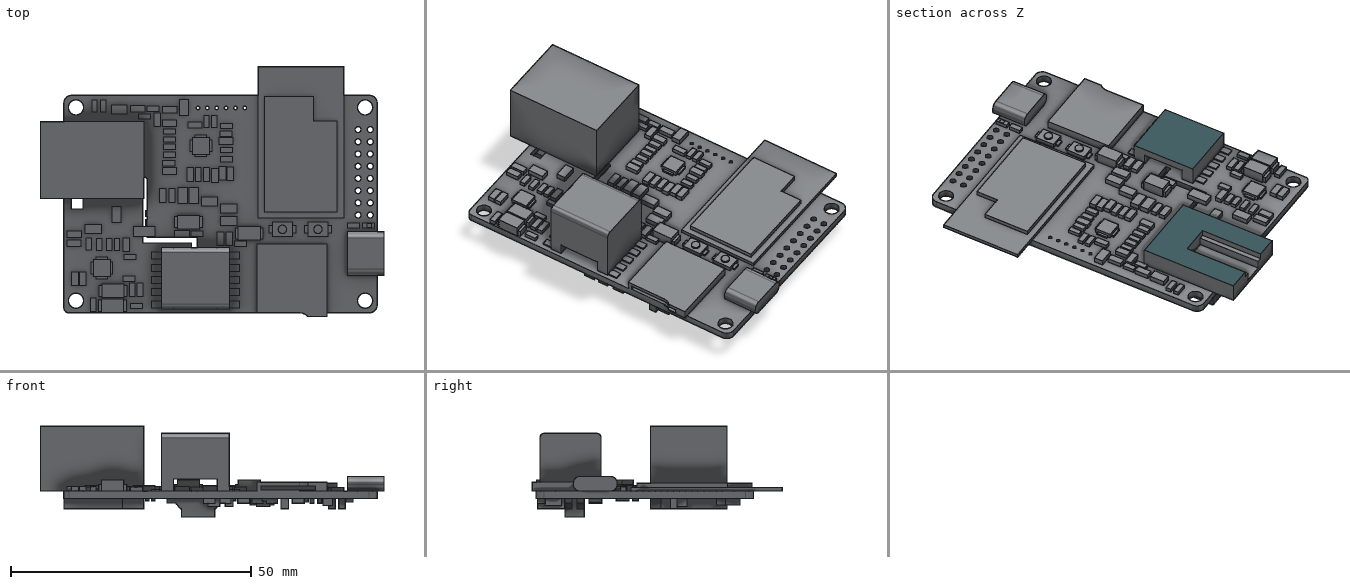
import cadquery as cq
import math


BOARD_LENGTH = 65.25
BOARD_WIDTH = 45.3
BOARD_THICKNESS = 1.6
BOARD_BOTTOM = -BOARD_THICKNESS
CORNER_RADIUS = 1.7
FRONT_LEFT_CORNER_RADIUS = 1.1

MOUNT_HOLE_DIAMETER = 3.1
MOUNT_HOLE_INSET = 2.55

HEADER_HOLE_DIAMETER = 1.2
HEADER_PITCH = 2.54
HEADER_COLUMNS = 2
HEADER_ROWS = 8
HEADER_CENTER = (62.5, 29.25)

SERIAL_HOLE_DIAMETER = 0.7
SERIAL_PITCH = 1.95
SERIAL_HOLES = 6
SERIAL_CENTER = (32.8, 42.65)

SLOT_LEFT = 16.45
SLOT_WIDTH = 0.9
SLOT_TOP = 28.2
SLOT_TURN_WIDTH = 1.15
SLOT_TURN_Y = 14.55
SLOT_RIGHT = 27.75
SLOT_END_Y = 12.0

WINDOW_LEFT = 1.6
WINDOW_BOTTOM = 21.65
WINDOW_LENGTH = 2.4
WINDOW_WIDTH = 4.0

JACK_LENGTH = 21.5
JACK_WIDTH = 16.0
JACK_HEIGHT = 13.5
JACK_OVERHANG = 4.85
JACK_FRONT_Y = 23.8
JACK_BASE_LEFT = 0.05
JACK_BASE_BOTTOM = -3.7
JACK_BASE_CHAMFER_X = 4.4
JACK_BASE_CHAMFER_Y = 2.2
JACK_OPENING_DEPTH = 14.0
JACK_OPENING_CENTER_Y = 31.7
JACK_OPENING_STEPS = [(12.3, 4.6), (6.2, 2.8), (4.2, 0.95)]
JACK_OPENING_TOP = 11.1

CONVERTER_LENGTH = 14.15
CONVERTER_WIDTH = 12.75
CONVERTER_HEIGHT = 12.05
CONVERTER_CENTER = (27.4, 7.2)
CONVERTER_FILLET = 1.0
CONVERTER_GAP_LENGTH = 9.05
CONVERTER_GAP_HEIGHT = 2.5
CONVERTER_LEAD_SPAN = 18.3
CONVERTER_LEAD_WIDTH = 1.45
CONVERTER_LEAD_HEIGHT = 0.3
CONVERTER_LEAD_PITCH = 2.54
CONVERTER_LEAD_ROWS = 5
CONVERTER_LEAD_CENTER_Y = 6.85

RADIO_LENGTH = 17.85
RADIO_WIDTH = 31.45
RADIO_THICKNESS = 0.75
RADIO_LEFT = 40.45
RADIO_FRONT_Y = 19.8
SHIELD_LEFT = 41.8
SHIELD_FRONT_Y = 21.0
SHIELD_LENGTH = 15.1
SHIELD_WIDTH = 24.0
SHIELD_TOP = 1.65
SHIELD_NOTCH_LENGTH = 4.9
SHIELD_NOTCH_WIDTH = 5.1

CARD_LEFT = 40.2
CARD_LENGTH = 14.6
CARD_BACK_Y = 14.3
CARD_HEIGHT = 1.85
CARD_LIP = 0.76
CARD_LIP_LENGTH = 4.0
CARD_LIP_RADIUS = 2.5
CARD_SLOT_LEFT = 41.0
CARD_SLOT_LENGTH = 11.4
CARD_SLOT_BOTTOM = 0.25
CARD_SLOT_TOP = 1.1
CARD_SLOT_DEPTH = 11.0

USB_LENGTH = 7.65
USB_WIDTH = 9.1
USB_HEIGHT = 3.05
USB_RADIUS = 1.35
USB_RIGHT = 66.65
USB_CENTER_Y = 12.35

SMALL = (2.5, 1.1, 0.8)
NARROW = (2.85, 1.2, 0.9)
MEDIUM = (2.85, 1.4, 0.95)
LONG = (3.1, 1.4, 0.95)
LARGE = (3.3, 1.9, 1.15)
WIDE = (3.5, 1.85, 1.15)
BRIDGE = (4.45, 2.1, 1.15)

CHIPS_ALONG_X = {
    SMALL: [
        (18.6, 42.5), (16.8, 40.85), (22.0, 37.75), (22.0, 36.1), (22.0, 34.6), (22.0, 32.9),
        (21.85, 31.15), (33.85, 38.9), (33.75, 37.25), (33.85, 33.9), (33.85, 31.95),
        (13.75, 11.65), (13.55, 7.1), (15.15, 1.45), (27.75, 16.5), (36.75, 14.4),
        (60.3, 18.2), (63.45, 18.2),
    ],
    NARROW: [(27.3, 39.1)],
    MEDIUM: [(22.0, 39.45), (22.0, 29.55), (33.75, 35.75), (2.15, 14.5)],
    LONG: [(15.4, 42.45), (22.05, 42.25), (2.2, 16.35), (24.6, 16.4)],
    LARGE: [(11.55, 42.35), (30.3, 23.2)],
    WIDE: [(34.35, 21.7), (34.35, 19.15), (6.15, 17.5)],
    BRIDGE: [(16.75, 16.95)],
}
CHIPS_ALONG_Y = {
    SMALL: [
        (6.4, 43.0), (8.2, 43.0), (29.7, 39.8), (31.3, 39.8),
        (5.2, 14.3), (7.4, 14.2), (9.5, 14.2), (11.1, 14.2),
    ],
    NARROW: [
        (28.0, 28.8), (29.7, 28.8), (22.55, 24.45), (14.25, 4.8), (15.85, 4.8), (6.15, 1.7),
    ],
    MEDIUM: [
        (19.45, 40.2), (26.35, 28.8), (31.45, 28.6), (33.05, 29.05), (34.65, 28.95), (20.6, 24.45),
        (13.0, 14.2), (2.35, 7.1), (3.95, 7.1), (32.6, 15.45), (34.45, 15.45),
    ],
    LARGE: [(25.0, 42.7), (24.75, 24.45), (27.05, 24.45), (11.0, 20.5)],
}

LENS = (0.95, 0.9, 0.9)
LENS_CENTER = (63.6, 18.2)

CAPACITOR_BODY = (4.6, 2.8, 2.3)
CAPACITOR_TERMINALS = (5.8, 2.3, 1.4)
CAPACITOR_CENTERS = [(25.95, 18.9), (38.6, 16.55), (10.25, 4.6), (10.15, 1.5)]

CONTROLLER_BODY = (3.5, 3.5, 1.0)
CONTROLLER_PADS = (4.5, 2.4, 0.4)
CONTROLLER_CENTERS = [(28.55, 34.75), (7.95, 9.35)]

BUTTON_BODY = (4.2, 3.0, 0.9)
BUTTON_LEADS = (5.6, 1.5, 0.4)
BUTTON_DIAMETER = 1.75
BUTTON_TOP = 1.25
BUTTON_CENTERS = [(45.5, 17.4), (52.9, 17.4)]

CHOKE_CENTER = (27.95, 8.05)
CHOKE_WIDTH = 4.05
CHOKE_BLOCK_LENGTH = 6.95
CHOKE_BOTTOM = -5.4
CHOKE_LEG_SPAN = 12.95
CHOKE_LEG_SHOULDER_SPAN = 9.4
CHOKE_LEG_FOOT_SPAN = 7.3
CHOKE_LEG_SHOULDER = -2.5
CHOKE_LEG_FOOT = -3.7
CHOKE_LEG_WIDTH = 1.5

CRYSTAL_CENTER = (41.25, 40.05)
CRYSTAL_LENGTH = 4.4
CRYSTAL_WIDTH = 2.55
CRYSTAL_BOTTOM = -2.95
CRYSTAL_ANGLE = -45

PAD_BOTTOM = -2.05
THIN_CHIP_BOTTOM = -2.3
CHIP_BOTTOM = -2.55
TALL_CHIP_BOTTOM = -3.05
TRANSISTOR_BOTTOM = -3.25
POST_BOTTOM = -3.7

UNDERSIDE_BLOCKS = {
    PAD_BOTTOM: [
        (17.05, 16.7, 0.7, 2.7), (18.3, 16.7, 0.7, 2.7), (17.05, 20.1, 0.7, 1.2),
        (35.2, 28.0, 0.6, 2.7), (41.3, 11.0, 1.0, 2.7),
        (29.3, 2.05, 1.0, 0.95), (29.3, 3.95, 1.0, 0.95),
    ],
    THIN_CHIP_BOTTOM: [(50.0, 11.0, 0.9, 2.7), (58.7, 11.0, 1.5, 2.7)],
    CHIP_BOTTOM: [
        (29.1, 0.3, 2.4, 1.7), (32.5, 0.3, 2.3, 1.7), (36.2, 0.3, 2.5, 1.7), (47.5, 0.3, 2.55, 1.7),
        (39.2, 12.1, 2.3, 1.65), (42.2, 11.0, 2.3, 2.7), (51.2, 11.0, 0.9, 2.7), (52.8, 11.0, 0.9, 2.7),
    ],
    TALL_CHIP_BOTTOM: [(53.9, 1.9, 2.0, 3.4)],
    TRANSISTOR_BOTTOM: [(30.0, 1.9, 2.5, 3.0), (33.6, 1.9, 1.65, 3.4), (40.1, 28.0, 2.8, 3.4)],
    POST_BOTTOM: [(45.2, 0.35, 1.6, 5.65), (55.1, 28.0, 1.4, 1.4), (57.2, 28.0, 1.4, 1.4)],
}

SEAT = 0.1


def corner_block(left, front, length, width, bottom, top):
    block = cq.Workplane("XY").box(length, width, top - bottom, centered=False)
    return block.translate((left, front, bottom))


def standing_block(center, size):
    """Block of (length, width, height) seated on the top face of the board."""
    length, width, height = size
    left = center[0] - length / 2
    front = center[1] - width / 2
    return corner_block(left, front, length, width, -SEAT, height)


def turned(size):
    length, width, height = size
    return (width, length, height)


def drilled(board, centers, diameter):
    return board.cut(
        cq.Workplane("XY").workplane(offset=BOARD_BOTTOM)
        .pushPoints(centers).circle(diameter / 2).extrude(BOARD_THICKNESS)
    )


def grid(center, columns, rows, pitch):
    first_x = center[0] - (columns - 1) * pitch / 2
    first_y = center[1] - (rows - 1) * pitch / 2
    return [(first_x + i * pitch, first_y + j * pitch) for i in range(columns) for j in range(rows)]


def isolation_slot():
    radius = SLOT_WIDTH / 2
    right = SLOT_LEFT + SLOT_WIDTH
    turn_top = SLOT_TURN_Y + SLOT_TURN_WIDTH
    return (
        cq.Workplane("XY").workplane(offset=BOARD_BOTTOM)
        .moveTo(SLOT_LEFT, SLOT_TURN_Y)
        .lineTo(SLOT_LEFT, SLOT_TOP - radius)
        .threePointArc((SLOT_LEFT + radius, SLOT_TOP), (right, SLOT_TOP - radius))
        .lineTo(right, turn_top)
        .lineTo(SLOT_RIGHT, turn_top)
        .lineTo(SLOT_RIGHT, SLOT_END_Y)
        .lineTo(SLOT_RIGHT - SLOT_TURN_WIDTH, SLOT_END_Y)
        .lineTo(SLOT_RIGHT - SLOT_TURN_WIDTH, SLOT_TURN_Y)
        .close()
        .extrude(BOARD_THICKNESS)
    )


def make_board():
    board = corner_block(0, 0, BOARD_LENGTH, BOARD_WIDTH, BOARD_BOTTOM, 0)
    board = board.edges("|Z and (>X or >Y)").fillet(CORNER_RADIUS)
    front_left_corner = cq.selectors.NearestToPointSelector((0, 0, BOARD_BOTTOM / 2))
    board = board.edges(front_left_corner).fillet(FRONT_LEFT_CORNER_RADIUS)
    mount_xs = (MOUNT_HOLE_INSET, BOARD_LENGTH - MOUNT_HOLE_INSET)
    mount_ys = (MOUNT_HOLE_INSET, BOARD_WIDTH - MOUNT_HOLE_INSET)
    mount_centers = [(x, y) for x in mount_xs for y in mount_ys]
    board = drilled(board, mount_centers, MOUNT_HOLE_DIAMETER)
    header_centers = grid(HEADER_CENTER, HEADER_COLUMNS, HEADER_ROWS, HEADER_PITCH)
    board = drilled(board, header_centers, HEADER_HOLE_DIAMETER)
    board = drilled(board, grid(SERIAL_CENTER, SERIAL_HOLES, 1, SERIAL_PITCH), SERIAL_HOLE_DIAMETER)
    window = corner_block(WINDOW_LEFT, WINDOW_BOTTOM, WINDOW_LENGTH, WINDOW_WIDTH, BOARD_BOTTOM, 0)
    return board.cut(isolation_slot()).cut(window)


def make_jack():
    right = JACK_LENGTH - JACK_OVERHANG
    jack = corner_block(-JACK_OVERHANG, JACK_FRONT_Y, JACK_LENGTH, JACK_WIDTH, 0, JACK_HEIGHT)
    for width, floor in JACK_OPENING_STEPS:
        front = JACK_OPENING_CENTER_Y - width / 2
        jack = jack.cut(
            corner_block(-JACK_OVERHANG, front, JACK_OPENING_DEPTH, width, floor, JACK_OPENING_TOP)
        )
    base = (
        cq.Workplane("XY").workplane(offset=JACK_BASE_BOTTOM)
        .moveTo(JACK_BASE_LEFT, JACK_FRONT_Y)
        .lineTo(right - JACK_BASE_CHAMFER_X, JACK_FRONT_Y)
        .lineTo(right, JACK_FRONT_Y + JACK_BASE_CHAMFER_Y)
        .lineTo(right, JACK_FRONT_Y + JACK_WIDTH)
        .lineTo(JACK_BASE_LEFT, JACK_FRONT_Y + JACK_WIDTH)
        .close()
        .extrude(BOARD_BOTTOM + SEAT - JACK_BASE_BOTTOM)
    )
    return [jack, base]


def make_converter():
    body = standing_block(CONVERTER_CENTER, (CONVERTER_LENGTH, CONVERTER_WIDTH, CONVERTER_HEIGHT))
    body = body.edges("|X and >Z").fillet(CONVERTER_FILLET)
    gap = corner_block(
        CONVERTER_CENTER[0] - CONVERTER_GAP_LENGTH / 2, CONVERTER_CENTER[1] - CONVERTER_WIDTH / 2,
        CONVERTER_GAP_LENGTH, CONVERTER_WIDTH, -SEAT, CONVERTER_GAP_HEIGHT,
    )
    parts = [body.cut(gap)]
    lead_length = (CONVERTER_LEAD_SPAN - CONVERTER_GAP_LENGTH) / 2
    lead = (lead_length, CONVERTER_LEAD_WIDTH, CONVERTER_LEAD_HEIGHT)
    lead_offset = (CONVERTER_LEAD_SPAN - lead_length) / 2
    for side in (-1, 1):
        row_center = (CONVERTER_CENTER[0] + side * lead_offset, CONVERTER_LEAD_CENTER_Y)
        lead_centers = grid(row_center, 1, CONVERTER_LEAD_ROWS, CONVERTER_LEAD_PITCH)
        parts += [standing_block(center, lead) for center in lead_centers]
    return parts


def make_radio():
    module = corner_block(RADIO_LEFT, RADIO_FRONT_Y, RADIO_LENGTH, RADIO_WIDTH, 0, RADIO_THICKNESS)
    shield = corner_block(SHIELD_LEFT, SHIELD_FRONT_Y, SHIELD_LENGTH, SHIELD_WIDTH, 0, SHIELD_TOP)
    notch_left = SHIELD_LEFT + SHIELD_LENGTH - SHIELD_NOTCH_LENGTH
    notch_front = SHIELD_FRONT_Y + SHIELD_WIDTH - SHIELD_NOTCH_WIDTH
    notch = corner_block(notch_left, notch_front, SHIELD_NOTCH_LENGTH, SHIELD_NOTCH_WIDTH, 0, SHIELD_TOP)
    return [module, shield.cut(notch)]


def make_card_socket():
    right = CARD_LEFT + CARD_LENGTH
    lip_left = right - CARD_LIP_LENGTH
    flare_angle = math.acos(1 - CARD_LIP / CARD_LIP_RADIUS)
    flare_left = lip_left - CARD_LIP_RADIUS * math.sin(flare_angle)
    flare_middle = (
        flare_left + CARD_LIP_RADIUS * math.sin(flare_angle / 2),
        CARD_LIP_RADIUS * (math.cos(flare_angle / 2) - 1),
    )
    socket = (
        cq.Workplane("XY")
        .moveTo(CARD_LEFT, CARD_BACK_Y)
        .lineTo(CARD_LEFT, 0)
        .lineTo(flare_left, 0)
        .threePointArc(flare_middle, (lip_left, -CARD_LIP))
        .lineTo(right, -CARD_LIP)
        .lineTo(right, CARD_BACK_Y)
        .close()
        .extrude(CARD_HEIGHT)
    )
    slot_width = CARD_LIP + CARD_SLOT_DEPTH
    slot = corner_block(
        CARD_SLOT_LEFT, -CARD_LIP, CARD_SLOT_LENGTH, slot_width, CARD_SLOT_BOTTOM, CARD_SLOT_TOP
    )
    return [socket.cut(slot)]


def make_usb():
    left = USB_RIGHT - USB_LENGTH
    front = USB_CENTER_Y - USB_WIDTH / 2
    shell = corner_block(left, front, USB_LENGTH, USB_WIDTH, 0, USB_HEIGHT)
    return [shell.edges("|X").fillet(USB_RADIUS)]


def make_chips():
    parts = []
    for size, centers in CHIPS_ALONG_X.items():
        parts += [standing_block(center, size) for center in centers]
    for size, centers in CHIPS_ALONG_Y.items():
        parts += [standing_block(center, turned(size)) for center in centers]
    parts.append(standing_block(LENS_CENTER, LENS))
    for center in CAPACITOR_CENTERS:
        parts.append(standing_block(center, CAPACITOR_BODY))
        parts.append(standing_block(center, CAPACITOR_TERMINALS))
    for center in CONTROLLER_CENTERS:
        parts.append(standing_block(center, CONTROLLER_BODY))
        parts.append(standing_block(center, CONTROLLER_PADS))
        parts.append(standing_block(center, turned(CONTROLLER_PADS)))
    return parts


def make_buttons():
    parts = []
    for center in BUTTON_CENTERS:
        parts.append(standing_block(center, BUTTON_BODY))
        parts.append(standing_block(center, BUTTON_LEADS))
        parts.append(cq.Workplane("XY").center(*center).circle(BUTTON_DIAMETER / 2).extrude(BUTTON_TOP))
    return parts


def make_choke():
    x, y = CHOKE_CENTER
    front = y - CHOKE_WIDTH / 2
    seat_top = BOARD_BOTTOM + SEAT
    block = corner_block(
        x - CHOKE_BLOCK_LENGTH / 2, front, CHOKE_BLOCK_LENGTH, CHOKE_WIDTH, CHOKE_BOTTOM, seat_top
    )
    parts = [block]
    for leg_front in (front, front + CHOKE_WIDTH - CHOKE_LEG_WIDTH):
        leg_pair = (
            cq.Workplane("XZ", origin=(x, leg_front, 0))
            .moveTo(-CHOKE_LEG_SPAN / 2, seat_top)
            .lineTo(-CHOKE_LEG_SPAN / 2, CHOKE_LEG_SHOULDER)
            .lineTo(-CHOKE_LEG_SHOULDER_SPAN / 2, CHOKE_LEG_SHOULDER)
            .lineTo(-CHOKE_LEG_FOOT_SPAN / 2, CHOKE_LEG_FOOT)
            .lineTo(CHOKE_LEG_FOOT_SPAN / 2, CHOKE_LEG_FOOT)
            .lineTo(CHOKE_LEG_SHOULDER_SPAN / 2, CHOKE_LEG_SHOULDER)
            .lineTo(CHOKE_LEG_SPAN / 2, CHOKE_LEG_SHOULDER)
            .lineTo(CHOKE_LEG_SPAN / 2, seat_top)
            .close()
            .extrude(-CHOKE_LEG_WIDTH)
        )
        parts.append(leg_pair)
    return parts


def make_crystal():
    height = BOARD_BOTTOM + SEAT - CRYSTAL_BOTTOM
    crystal = cq.Workplane("XY").rect(CRYSTAL_LENGTH, CRYSTAL_WIDTH).extrude(height)
    crystal = crystal.rotate((0, 0, 0), (0, 0, 1), CRYSTAL_ANGLE)
    return [crystal.translate((*CRYSTAL_CENTER, CRYSTAL_BOTTOM))]


def make_underside_blocks():
    top = BOARD_BOTTOM + SEAT
    return [
        corner_block(left, front, length, width, bottom, top)
        for bottom, blocks in UNDERSIDE_BLOCKS.items()
        for left, front, length, width in blocks
    ]


parts = (
    make_jack() + make_converter() + make_radio() + make_card_socket() + make_usb()
    + make_chips() + make_buttons() + make_choke() + make_crystal() + make_underside_blocks()
)
result = cq.Workplane(make_board().val().fuse(*[part.val() for part in parts]).clean())